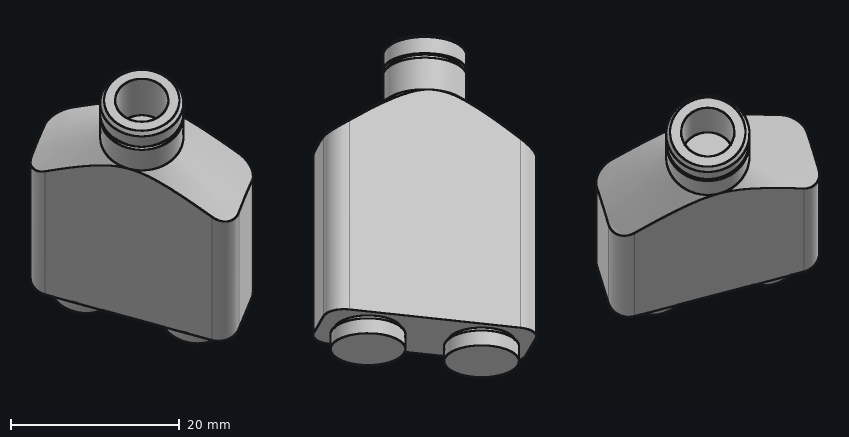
import cadquery as cq

total_height = 39.88
body_width = 25.92
body_depth = 9.9
corner_radius = 2.5

foot_diameter = 8.9
foot_height = 1.95
stem_diameter = 7.98
stem_height = 0.6
foot_offset = 6.95

neck_radius = body_depth / 2
neck_height = 7.35
rim_chamfer = 0.48
groove_diameter = 9.0
groove_width = 0.6
groove_to_rim = 2.6
bore_diameter = 6.3
bore_depth = neck_height

shoulder_drop = 6.22

body_bottom = foot_height + stem_height
shoulder_top = total_height - neck_height


def cylinder(diameter, height, bottom, x=0):
    """Upright cylinder standing at height bottom."""
    return cq.Workplane("XY", origin=(x, 0, bottom)).circle(diameter / 2).extrude(height)


def make_body():
    """Rounded block whose top is trimmed by a cone spreading from the neck."""
    block = (
        cq.Workplane("XY", origin=(0, 0, body_bottom))
        .rect(body_width, body_depth)
        .extrude(shoulder_top - body_bottom)
        .edges("|Z")
        .fillet(corner_radius)
    )
    envelope_radius = body_width
    cone_slope = shoulder_drop / (body_width / 2 - neck_radius)
    cone_bottom = shoulder_top - cone_slope * (envelope_radius - neck_radius)
    envelope = (
        cq.Workplane("XZ")
        .moveTo(0, body_bottom)
        .lineTo(envelope_radius, body_bottom)
        .lineTo(envelope_radius, cone_bottom)
        .lineTo(neck_radius, shoulder_top)
        .lineTo(0, shoulder_top)
        .close()
        .revolve(360, (0, 0, 0), (0, 1, 0))
    )
    return block.intersect(envelope)


def make_neck():
    """Round neck with a chamfered rim and a ring groove."""
    neck = cylinder(2 * neck_radius, neck_height, shoulder_top)
    neck = neck.faces(">Z").chamfer(rim_chamfer)
    groove_bottom = total_height - groove_to_rim - groove_width
    groove = cylinder(2 * neck_radius, groove_width, groove_bottom).cut(
        cylinder(groove_diameter, groove_width, groove_bottom)
    )
    return neck.cut(groove)


def make_foot(x):
    """One disc foot with its stem."""
    disc = cylinder(foot_diameter, foot_height, 0, x)
    stem = cylinder(stem_diameter, stem_height, foot_height, x)
    return disc.union(stem)


result = make_body().union(make_neck())
for side in (-1, 1):
    result = result.union(make_foot(side * foot_offset))

result = result.cut(cylinder(bore_diameter, bore_depth, total_height - bore_depth))